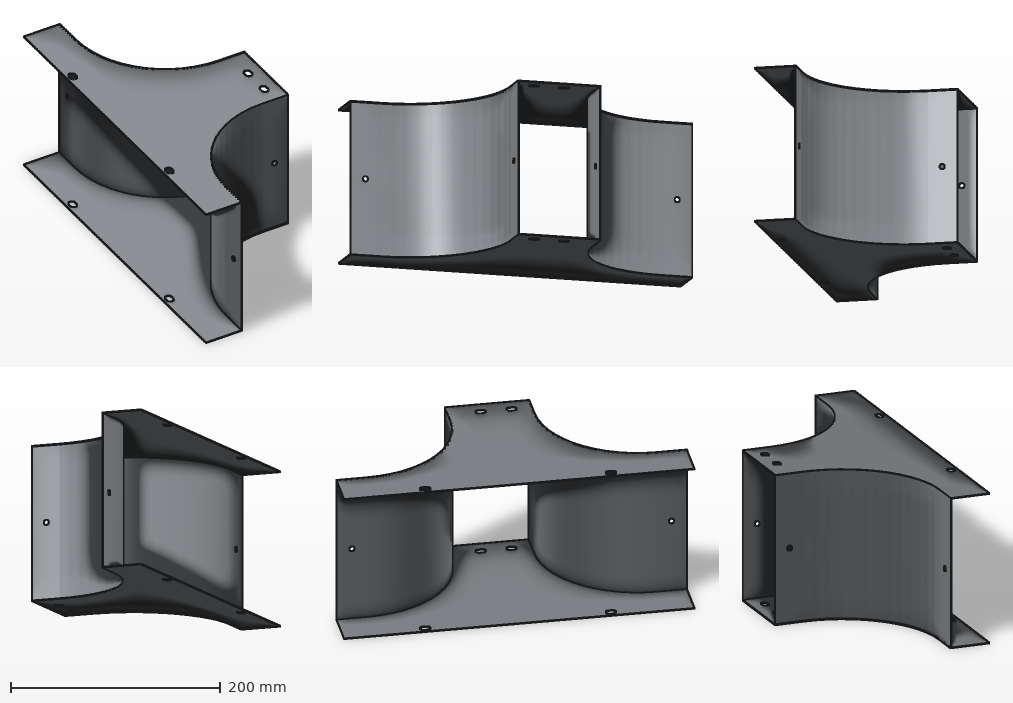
import cadquery as cq
import math

length = 340.0
depth = 168.0
height = 151.0
sheet = 1.0

arm_straight = 30.0
neck_straight = 29.0
bend_radius = 99.0
half_length = length / 2
half_neck = half_length - arm_straight - bend_radius
arm_depth = depth - neck_straight - bend_radius
bend_x = half_neck + bend_radius
bend_y = arm_depth + bend_radius

wall_hole_diameter = 5.0
wall_hole_inset = 15.0
slot_width = 7.0
slot_length = 10.2
neck_slot_spacing = 30.0
neck_slot_inset = 15.0
neck_slot_offset = 6.0
front_slot_spacing = 180.2
front_slot_inset = 6.8


def bend_middle(side, radius):
    """Midpoint of a quarter-circle bend of the given radius; side is -1 (left) or +1 (right)."""
    reach = radius * math.sqrt(0.5)
    return (side * (bend_x - reach), bend_y - reach)


def make_wall(side):
    """Curved side wall running from the arm end to the neck end."""
    inner_radius = bend_radius + sheet
    inner_neck = half_neck - sheet
    return (
        cq.Workplane("XY")
        .moveTo(side * half_length, arm_depth)
        .lineTo(side * bend_x, arm_depth)
        .threePointArc(bend_middle(side, bend_radius), (side * half_neck, bend_y))
        .lineTo(side * half_neck, depth)
        .lineTo(side * inner_neck, depth)
        .lineTo(side * inner_neck, bend_y)
        .threePointArc(bend_middle(side, inner_radius), (side * bend_x, arm_depth - sheet))
        .lineTo(side * half_length, arm_depth - sheet)
        .close()
        .extrude(height)
    )


def make_plate(bottom):
    """Flat tee-shaped plate with its underside at the given height."""
    return (
        cq.Workplane("XY", origin=(0, 0, bottom))
        .moveTo(-half_length, 0)
        .lineTo(half_length, 0)
        .lineTo(half_length, arm_depth)
        .lineTo(bend_x, arm_depth)
        .threePointArc(bend_middle(1, bend_radius), (half_neck, bend_y))
        .lineTo(half_neck, depth)
        .lineTo(-half_neck, depth)
        .lineTo(-half_neck, bend_y)
        .threePointArc(bend_middle(-1, bend_radius), (-bend_x, arm_depth))
        .lineTo(-half_length, arm_depth)
        .close()
        .extrude(sheet)
    )


def make_slots():
    """Slot cutters passing through both plates."""
    neck_y = depth - neck_slot_inset
    centers = [(neck_slot_offset + side * neck_slot_spacing / 2, neck_y) for side in (-1, 1)]
    centers += [(side * front_slot_spacing / 2, front_slot_inset) for side in (-1, 1)]
    return cq.Workplane("XY").pushPoints(centers).slot2D(slot_length, slot_width).extrude(height)


def make_wall_holes():
    """Cutters for the hole at mid-height in each straight wall end."""
    hole_radius = wall_hole_diameter / 2
    arm_x = half_length - wall_hole_inset
    neck_y = depth - wall_hole_inset
    arm_holes = (
        cq.Workplane("XZ")
        .pushPoints([(-arm_x, height / 2), (arm_x, height / 2)])
        .circle(hole_radius)
        .extrude(-depth)
    )
    neck_holes = (
        cq.Workplane("YZ")
        .center(neck_y, height / 2)
        .circle(hole_radius)
        .extrude(half_length, both=True)
    )
    return arm_holes.union(neck_holes)


result = make_plate(0).union(make_plate(height - sheet))
for wall_side in (-1, 1):
    result = result.union(make_wall(wall_side))
result = result.cut(make_slots()).cut(make_wall_holes())